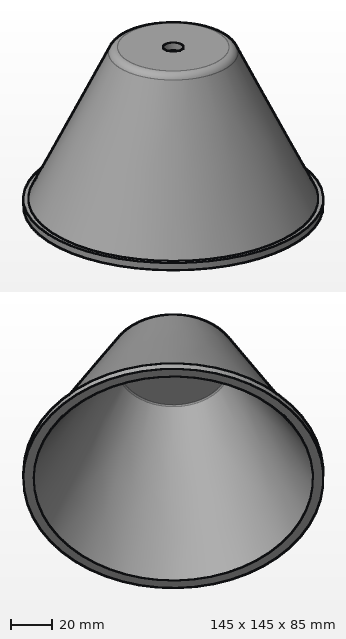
import math

import cadquery as cq

flange_diameter = 145.0
height = 85.0
wall_thickness = 4.0
flange_thickness = 3.9

cone_base_radius = 70.0
cone_top_radius = 30.0
outer_fillet_radius = 5.0
inner_fillet_radius = outer_fillet_radius - wall_thickness

hole_diameter = 10.0

cone_taper = (cone_base_radius - cone_top_radius) / (height - flange_thickness)
horizontal_wall = wall_thickness * math.hypot(1, cone_taper)


def outer_radius_at(z):
    return cone_base_radius - cone_taper * (z - flange_thickness)


def rounded_frustum(bottom_z, bottom_radius, top_z, top_radius, fillet_radius):
    """Solid frustum about Z with a rounded top edge."""
    profile = (
        cq.Workplane("XZ")
        .moveTo(0, bottom_z)
        .lineTo(bottom_radius, bottom_z)
        .lineTo(top_radius, top_z)
        .lineTo(0, top_z)
        .close()
    )
    frustum = profile.revolve(360, (0, 0, 0), (0, 1, 0))
    return frustum.faces(">Z").edges().fillet(fillet_radius)


flange = cq.Workplane("XY").circle(flange_diameter / 2).extrude(flange_thickness)
cone = rounded_frustum(
    flange_thickness, cone_base_radius, height, cone_top_radius, outer_fillet_radius
)

ceiling_z = height - wall_thickness
cavity = rounded_frustum(
    0,
    outer_radius_at(0) - horizontal_wall,
    ceiling_z,
    outer_radius_at(ceiling_z) - horizontal_wall,
    inner_fillet_radius,
)

top_hole = cq.Workplane("XY").circle(hole_diameter / 2).extrude(height)

result = flange.union(cone).cut(cavity).cut(top_hole)